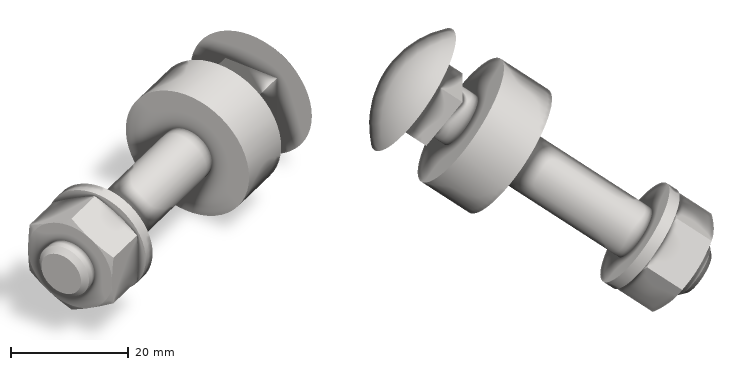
import cadquery as cq
import math


head_diameter = 24.6
head_height = 5.35
neck_width = 10.45
neck_length = 6.55
shank_diameter = 10.0
overall_length = 65.4
bolt_length = overall_length - head_height
tip_chamfer = 1.0

spacer_diameter = 25.0
spacer_length = 10.15
spacer_start = 10.0

washer_diameter = 20.0
washer_thickness = 2.15
washer_start = 46.75

nut_across_flats = 17.0
nut_height = 8.3
nut_corner_drop = 0.45
nut_across_corners = nut_across_flats / math.cos(math.radians(30))
nut_start = washer_start + washer_thickness


def section_plane(start):
    """Sketch plane at a distance below the head, facing -Y."""
    return cq.Workplane("XZ", origin=(0, -start, 0))


def disc(diameter, start, length):
    return section_plane(start).circle(diameter / 2).extrude(length)


def make_head():
    """Spherical cap, revolved from half of its profile."""
    head_radius = head_diameter / 2
    sphere_radius = (head_radius**2 + head_height**2) / (2 * head_height)
    half_angle = math.asin(head_radius / sphere_radius) / 2
    arc_middle = (
        sphere_radius * math.sin(half_angle),
        head_height - sphere_radius * (1 - math.cos(half_angle)),
    )
    return (
        cq.Workplane("XY")
        .lineTo(head_radius, 0)
        .threePointArc(arc_middle, (0, head_height))
        .close()
        .revolve(360, (0, 0), (0, 1))
    )


def make_nut():
    """Hexagon with conical corner chamfers at both ends and corners at +Z and -Z."""
    hexagon = (
        section_plane(nut_start)
        .transformed(rotate=(0, 0, 90))
        .polygon(6, nut_across_corners)
        .extrude(nut_height)
    )
    corner_depth = (nut_across_corners - nut_across_flats) / 2
    envelope = (
        disc(nut_across_corners, nut_start, nut_height)
        .faces("<Y or >Y")
        .chamfer(nut_corner_drop, corner_depth)
    )
    return hexagon.intersect(envelope)


def make_bolt():
    """Carriage bolt in one piece with its washer and nut."""
    neck = section_plane(0).rect(neck_width, neck_width).extrude(neck_length)
    shank = disc(shank_diameter, 0, bolt_length).faces("<Y").chamfer(tip_chamfer)
    washer = disc(washer_diameter, washer_start, washer_thickness)
    return make_head().union(neck).union(shank).union(washer).union(make_nut())


def make_spacer():
    """Ring that fits closely around the shank."""
    ring = disc(spacer_diameter, spacer_start, spacer_length)
    bore = disc(shank_diameter, spacer_start, spacer_length)
    return ring.cut(bore)


bolt = make_bolt().solids()
spacer = make_spacer().solids()

result = cq.Compound.makeCompound([bolt.val(), spacer.val()])